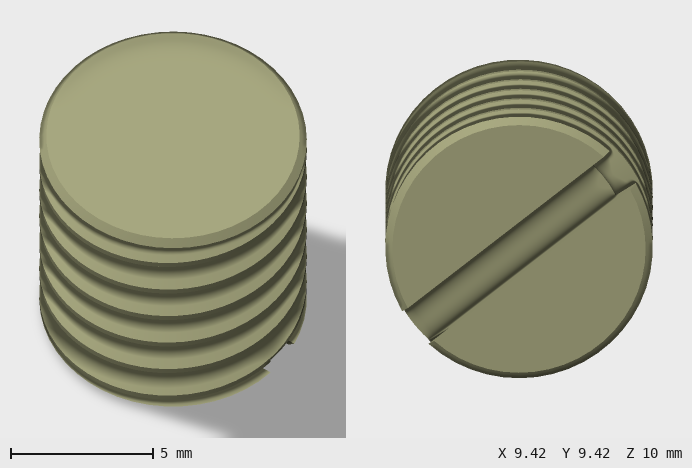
import cadquery as cq
import math

length = 10.0
major_diameter = 9.42
root_diameter = 7.63
chamfer = 0.25
pitch = 1.59
crest_width = 0.24
flank_angle = 30.0
front_groove_height = 1.44
slot_width = 1.5
slot_depth = 1.0
cutter_clearance = 0.1

major_radius = major_diameter / 2
root_radius = root_diameter / 2
flank_slope = math.tan(math.radians(flank_angle))


def make_blank():
    """Plain cylinder with both end edges chamfered."""
    return cq.Workplane("XY").circle(major_radius).extrude(length).faces("<Z or >Z").chamfer(chamfer)


def make_groove():
    """Right-handed helical V groove with a flat root, stopped at the end rims."""
    outer_radius = major_radius + cutter_clearance
    outer_half_width = (pitch - crest_width) / 2 + cutter_clearance * flank_slope
    root_half_width = (pitch - crest_width) / 2 - (major_radius - root_radius) * flank_slope

    start_height = front_groove_height + pitch / 4 - 2 * pitch
    turns = math.ceil(length / pitch) + 2
    path = cq.Wire.makeHelix(pitch, turns * pitch, root_radius)
    sweep = (
        cq.Workplane("XZ")
        .moveTo(root_radius, -root_half_width)
        .lineTo(outer_radius, -outer_half_width)
        .lineTo(outer_radius, outer_half_width)
        .lineTo(root_radius, root_half_width)
        .close()
        .sweep(cq.Workplane(obj=path), isFrenet=True)
        .translate((0, 0, start_height))
    )
    threaded_zone = (
        cq.Workplane("XY", origin=(0, 0, chamfer))
        .circle(major_diameter)
        .extrude(length - 2 * chamfer)
    )
    return sweep.intersect(threaded_zone)


def make_slot():
    """Screwdriver slot running along X across the bottom end."""
    return cq.Workplane("XY").rect(2 * major_diameter, slot_width).extrude(slot_depth)


result = make_blank().cut(make_groove()).cut(make_slot())